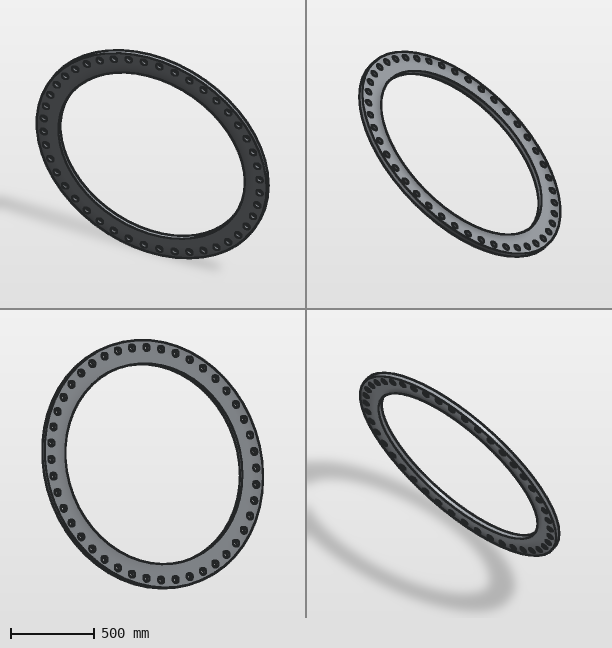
import cadquery as cq

outer_diameter = 1511.0
inner_diameter = 1224.0
thickness = 32.0

hole_count = 44
hole_diameter = 41.0
bolt_circle_diameter = 1420.0
hole_pitch_angle = 360.0 / hole_count


def make_ring():
    """Plain ring centred on the origin, with its faces normal to Y."""
    return (
        cq.Workplane("XZ", origin=(0, thickness / 2, 0))
        .circle(outer_diameter / 2)
        .circle(inner_diameter / 2)
        .extrude(thickness)
    )


def make_bolt_holes():
    """Cylinders that cut the through holes around the bolt circle."""
    return (
        cq.Workplane("XZ", origin=(0, thickness / 2, 0))
        .polarArray(bolt_circle_diameter / 2, hole_pitch_angle / 2, 360, hole_count)
        .circle(hole_diameter / 2)
        .extrude(thickness)
    )


result = make_ring().cut(make_bolt_holes())